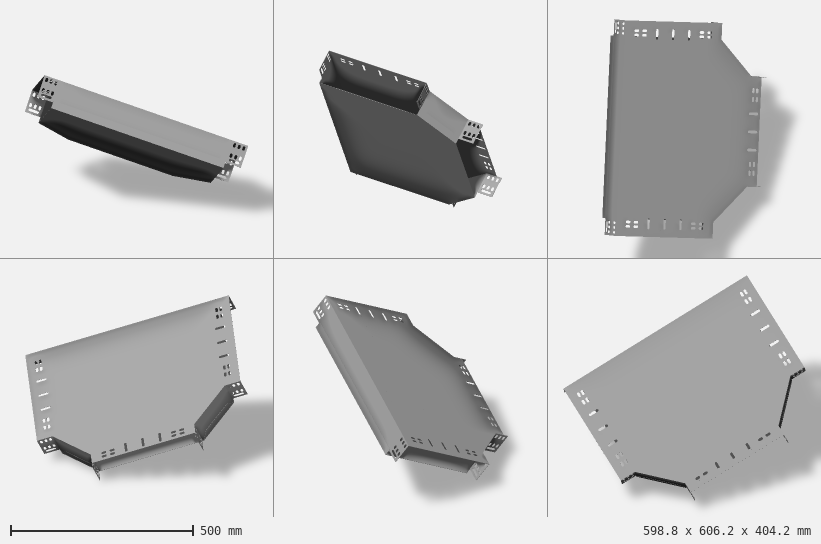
import cadquery as cq
import math

SHEET = 0.85
TRAY_WIDTH = 301.5
CORNER_LEG = 100.0
WALL_HEIGHT = 80.0
TAB_LENGTH = 45.5
TAB_HEIGHT = 64.0
BRANCH_FLOOR_SETBACK = 16.0
LIP_HEIGHT = 22.0

SLOT_WIDTH = 7.0
LONG_SLOT = 30.0
FLOOR_SHORT_SLOT = 14.5
TAB_SHORT_SLOT = 12.0
FLOOR_SLOT_INSET = 36.0
FLOOR_SLOT_PITCH = 50.0
FLOOR_SLOT_COUNT = 3
GROUP_INSET = 33.5
GROUP_OFFSET = 101.0
GROUP_PITCH_IN = 12.0
GROUP_PITCH_ACROSS = 24.0
TAB_SLOT_PITCH = 13.5
TAB_ROW_DEPTHS = (11.0, 41.0)
TAB_LONG_SLOT_DEPTH = 54.5

TURN_X = -28.85
TURN_Y = 19.3
TURN_Z = 61.2

HALF_WIDTH = TRAY_WIDTH / 2
LID_HALF_RUN = HALF_WIDTH + CORNER_LEG
HALF_RUN = LID_HALF_RUN + TAB_LENGTH
LID_REACH = TRAY_WIDTH + CORNER_LEG
BRANCH_REACH = LID_REACH + TAB_LENGTH
SHIFT_45 = SHEET * math.sqrt(2)


def slots(length, angle, points, plane="XY"):
    """Through cutters for equal slots, reaching across the whole tray on both sides of the plane."""
    return (
        cq.Workplane(plane)
        .pushPoints(points)
        .slot2D(length, SLOT_WIDTH, angle)
        .extrude(TRAY_WIDTH, both=True)
    )


def floor_slots():
    """Floor slots of one mouth whose tip line is X = 0, the tray lying on the +X side."""
    middle = (FLOOR_SLOT_COUNT - 1) / 2
    long_points = [
        (FLOOR_SLOT_INSET, (i - middle) * FLOOR_SLOT_PITCH) for i in range(FLOOR_SLOT_COUNT)
    ]
    short_points = [
        (GROUP_INSET + inward * GROUP_PITCH_IN / 2, side * GROUP_OFFSET + across * GROUP_PITCH_ACROSS / 2)
        for side in (-1, 1)
        for inward in (-1, 1)
        for across in (-1, 1)
    ]
    return slots(LONG_SLOT, 0, long_points).union(slots(FLOOR_SHORT_SLOT, 90, short_points))


def tab_slots():
    """Slots through both tabs of one mouth, in the same position as floor_slots."""
    middle = TAB_LENGTH / 2
    short_points = [
        (middle + step * TAB_SLOT_PITCH, -depth) for step in (-1, 0, 1) for depth in TAB_ROW_DEPTHS
    ]
    long_point = [(middle, -TAB_LONG_SLOT_DEPTH)]
    return slots(TAB_SHORT_SLOT, 90, short_points, "XZ").union(slots(LONG_SLOT, 0, long_point, "XZ"))


def tab_relief():
    """Block below the tabs of one mouth, which makes them lower than the walls."""
    block = cq.Workplane("XY").box(
        TAB_LENGTH, TRAY_WIDTH, WALL_HEIGHT - TAB_HEIGHT, centered=(False, True, False)
    )
    return block.translate((0, 0, -WALL_HEIGHT))


def at_mouths(cutter):
    """Copies of a mouth cutter at the two ends of the run and at the branch."""
    left = cutter.translate((-HALF_RUN, HALF_WIDTH, 0))
    right = left.mirror("YZ")
    branch = cutter.rotate((0, 0, 0), (0, 0, 1), -90).translate((0, BRANCH_REACH, 0))
    return [left, right, branch]


def make_tray():
    outline = [
        (-HALF_RUN, 0),
        (HALF_RUN, 0),
        (HALF_RUN, TRAY_WIDTH),
        (LID_HALF_RUN, TRAY_WIDTH),
        (HALF_WIDTH, LID_REACH),
        (HALF_WIDTH, BRANCH_REACH),
        (-HALF_WIDTH, BRANCH_REACH),
        (-HALF_WIDTH, LID_REACH),
        (-LID_HALF_RUN, TRAY_WIDTH),
        (-HALF_RUN, TRAY_WIDTH),
    ]
    block = cq.Workplane("XY").polyline(outline).close().extrude(-WALL_HEIGHT)
    tray = block.faces("<Z or <X or >X or >Y").shell(-SHEET)

    for feature in (tab_relief(), floor_slots(), tab_slots()):
        for cutter in at_mouths(feature):
            tray = tray.cut(cutter)

    setback = (
        cq.Workplane("XY")
        .box(TRAY_WIDTH - 2 * SHEET, BRANCH_FLOOR_SETBACK, 2 * SHEET)
        .translate((0, BRANCH_REACH - BRANCH_FLOOR_SETBACK / 2, 0))
    )
    return tray.cut(setback)


def lip(start, end, taper):
    """Upright strip whose outer face runs from start to end, its ends leaning in by taper."""
    run_x = end[0] - start[0]
    run_y = end[1] - start[1]
    length = math.hypot(run_x, run_y)
    outward = cq.Vector(run_y, -run_x, 0)
    plane = cq.Plane(origin=(*start, -WALL_HEIGHT - SHEET), xDir=(run_x, run_y, 0), normal=outward)
    face = [(0, 0), (length, 0), (length - taper, LIP_HEIGHT), (taper, LIP_HEIGHT)]
    return cq.Workplane(plane).polyline(face).close().extrude(-SHEET)


def make_lid():
    back_left = (-LID_HALF_RUN, -SHEET)
    back_right = (LID_HALF_RUN, -SHEET)
    right_corner = (LID_HALF_RUN, TRAY_WIDTH + SHIFT_45)
    branch_right = (HALF_WIDTH + SHIFT_45, LID_REACH)
    branch_left = (-HALF_WIDTH - SHIFT_45, LID_REACH)
    left_corner = (-LID_HALF_RUN, TRAY_WIDTH + SHIFT_45)
    outline = [back_left, back_right, right_corner, branch_right, branch_left, left_corner]
    plate = (
        cq.Workplane("XY")
        .workplane(offset=-WALL_HEIGHT)
        .polyline(outline)
        .close()
        .extrude(-SHEET)
    )
    lid = plate.union(lip(back_left, back_right, 0))
    lid = lid.union(lip(right_corner, branch_right, LIP_HEIGHT))
    return lid.union(lip(branch_left, left_corner, LIP_HEIGHT))


def turn(body):
    """Bring a body from the tee's own frame into its tilted place."""
    origin = (0, 0, 0)
    body = body.rotate(origin, (1, 0, 0), TURN_X)
    body = body.rotate(origin, (0, 1, 0), TURN_Y)
    return body.rotate(origin, (0, 0, 1), TURN_Z)


tray = turn(make_tray())
lid = turn(make_lid())

result = cq.Compound.makeCompound([tray.val(), lid.val()])